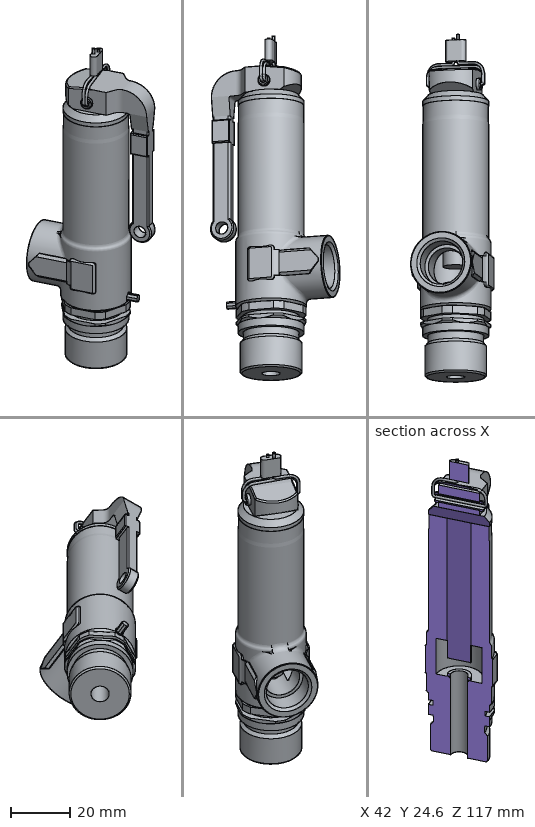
import cadquery as cq
import math


thread_radius = 10.4
thread_chamfer = 0.6
relief_radius = 9.4
thread_top = 10.4
relief_bottom = 11.6
relief_top = 13.6
shank_radius = 9.5
flange_bottom = 14.0
flange_cone_bottom = 16.7
flange_cone_top = 17.4
flange_top = 18.1
body_bottom = 19.8
hex_top = 22.5
hex_runout_top = 23.3
body_radius = 11.9
tube_radius = 11.1
step_bottom = 45.5
step_top = 47.6
spigot_radius = 11.0
spigot_cone_bottom = 86.2
spigot_cone_top = 87.6
housing_top = 92.7
hex_across_flats = 22.2

port_z = 35.6
port_radius = 10.5
port_end_x = -21.1
port_rim_chamfer = 0.2
port_bore_radius = 7.4
port_bore_chamfer = 0.9
port_bore_depth = 7.6
port_throat_radius = 6.2
port_root_fillet = 1.4
hump_half_width = 2.8
hump_fillet = 2.1
blend_top = 52.6
chamber_radius = 8.2
chamber_floor = 30.7
chamber_top = 44.5
seat_top = 31.8
inlet_bore_radius = 3.0

arrow_tip_x = -20.0
arrow_shoulder_x = -16.6
arrow_half_height = 4.5
arrow_tip_half_height = 0.6
arrow_face_y = 10.8
ramp_start_x = -6.2
badge_left_x = -4.7
badge_right_x = 4.7
badge_half_height = 6.0
badge_face_y = 12.3
badge_bevel = 0.7
badge_corner_radius = 1.0
arrow_bevel = 0.9

disc_radius = 4.2
disc_bottom = 37.7

cap_top = 96.3
cap_top_radius = 9.2
cap_shoulder = 94.2

head_radius = 10.2
head_half_width = 7.5
head_top = 105.0
head_slope_start_x = -1.3
head_nose_top = 103.7
head_nose_bottom = 99.1
nose_bevel = 0.5
head_undercut_x = -5.4
neck_half_width = 3.5
neck_start_x = 9.8
neck_fillet = 2.7
lever_right_x = 20.0
arm_left_x = 13.8
elbow_radius = 8.7
inner_elbow_radius = 0.8
neck_taper_bottom = 89.9
label_top = 88.6
arm_half_width = 2.0
arm_inner_bevel = 0.8
arm_outer_bevel = 0.5
label_bottom = 80.7
label_half_width = 3.0
label_bevel = 0.4
eye_x = 16.8
eye_z = 51.2
eye_radius = 4.1
eye_hole_radius = 2.1
eye_bevel = 0.5

pin_z = 99.8
pin_shaft_radius = 1.5
pin_head_radius = 2.0
pin_head_bevel = 0.4
pin_half_length = 8.9
pin_bore_radius = 1.0

wire_radius = 0.5
turn_offset = 0.53
wire_side_y = 9.6
upper_run_z = 107.0
lower_run_z = 106.0
wire_end_y = 0.9
short_end_z = 116.0
long_end_z = 117.0
loop_bend = 3.5
tight_bend = 0.7

seal_bottom = 107.9
seal_top = 115.1
seal_half_width = 3.5
seal_half_thickness = 1.3
seal_x = 0.1

plug_z = 24.7
plug_across_flats = 2.3
plug_inner_x = 10.0
plug_outer_x = 15.5
plug_sides = 8
plug_recess_radius = 1.5
plug_recess_x = 11.3


def cylinder(radius, bottom, top):
    """Upright cylinder on the valve axis."""
    return cq.Workplane("XY").workplane(offset=bottom).circle(radius).extrude(top - bottom)


def x_cylinder(radius, start_x, end_x, z):
    """Cylinder along X in the plane of symmetry."""
    return cq.Workplane("YZ", origin=(start_x, 0, z)).circle(radius).extrude(end_x - start_x)


def y_cylinder(radius, half_length, x, z):
    """Cylinder along Y, centred on the plane of symmetry."""
    return cq.Workplane("XZ", origin=(x, 0, z)).circle(radius).extrude(half_length, both=True)


def centred_box(left_x, right_x, half_width, bottom, top):
    """Box that is symmetric about the XZ plane."""
    size = (right_x - left_x, 2 * half_width, top - bottom)
    return cq.Workplane("XY").box(*size).translate(((left_x + right_x) / 2, 0, (bottom + top) / 2))


def make_turned_blank():
    step_middle = (step_bottom + step_top) / 2
    step_radius = (body_radius + tube_radius) / 2
    return (
        cq.Workplane("XZ")
        .moveTo(0, 0)
        .lineTo(thread_radius - thread_chamfer, 0)
        .lineTo(thread_radius, thread_chamfer)
        .lineTo(thread_radius, thread_top)
        .lineTo(relief_radius, relief_bottom)
        .lineTo(relief_radius, relief_top)
        .lineTo(shank_radius, flange_bottom)
        .lineTo(tube_radius, flange_bottom)
        .lineTo(tube_radius, flange_cone_bottom)
        .lineTo(body_radius, flange_cone_top)
        .lineTo(body_radius, flange_top)
        .lineTo(shank_radius, flange_top)
        .lineTo(shank_radius, body_bottom)
        .lineTo(body_radius, body_bottom)
        .lineTo(body_radius, step_bottom)
        .tangentArcPoint((step_radius, step_middle), relative=False)
        .tangentArcPoint((tube_radius, step_top), relative=False)
        .lineTo(tube_radius, spigot_cone_bottom)
        .lineTo(spigot_radius, spigot_cone_top)
        .lineTo(spigot_radius, housing_top)
        .lineTo(0, housing_top)
        .close()
        .revolve(360, (0, 0, 0), (0, 1, 0))
    )


def cut_wrench_flats(blank):
    """Six flats, two of them facing +Y and -Y, that run out upwards into the round body."""
    hex_diameter = hex_across_flats / math.cos(math.pi / 6)
    prism = cq.Workplane("XY").workplane(offset=flange_cone_bottom).polygon(6, hex_diameter)
    prism = prism.extrude(hex_top - flange_cone_bottom)
    runout = (
        cq.Workplane("XY")
        .workplane(offset=hex_top)
        .circle(tube_radius)
        .workplane(offset=hex_runout_top - hex_top)
        .circle(body_radius)
        .loft()
    )
    ring = cylinder(body_radius, flange_cone_bottom, hex_runout_top)
    return blank.cut(ring.cut(prism).cut(runout))


def make_pipe():
    return x_cylinder(port_radius, port_end_x, 0, port_z).faces("<X").chamfer(port_rim_chamfer)


def make_port_blend(trunk_radius, fillet_radius):
    """Port and a plain round trunk with a fillet along their joint."""
    trunk = cylinder(trunk_radius, hex_runout_top, blend_top)
    joint_box = cq.selectors.BoxSelector(
        (port_end_x + 1.2, -trunk_radius, hex_runout_top + 0.1),
        (-0.1, trunk_radius, blend_top - 0.1),
    )
    return trunk.union(make_pipe()).edges(joint_box).fillet(fillet_radius)


def make_port():
    """Port blended into the body; a narrow hump blends it into the tube above the step."""
    body_space = centred_box(port_end_x, 0, body_radius, hex_runout_top, step_bottom)
    hump_space = centred_box(port_end_x, 0, hump_half_width, port_z, blend_top)
    body_blend = make_port_blend(body_radius, port_root_fillet).intersect(body_space)
    hump = make_port_blend(tube_radius, hump_fillet).intersect(hump_space)
    return make_pipe().union(body_blend).union(hump)


def make_flank_pads():
    """Arrow-shaped pad, ramp and square badge on each flank."""
    arrow = (
        cq.Workplane("XZ", origin=(0, 0, port_z))
        .moveTo(badge_left_x, -arrow_half_height)
        .lineTo(arrow_shoulder_x, -arrow_half_height)
        .lineTo(arrow_tip_x, -arrow_tip_half_height)
        .lineTo(arrow_tip_x, arrow_tip_half_height)
        .lineTo(arrow_shoulder_x, arrow_half_height)
        .lineTo(badge_left_x, arrow_half_height)
        .close()
        .extrude(arrow_face_y)
        .edges("<Y and |X")
        .chamfer(arrow_bevel)
    )
    ramp = (
        cq.Workplane("XY", origin=(0, 0, port_z))
        .moveTo(ramp_start_x, 0)
        .lineTo(ramp_start_x, -arrow_face_y)
        .lineTo(badge_left_x, -badge_face_y + badge_bevel)
        .lineTo(badge_left_x, 0)
        .close()
        .extrude(arrow_half_height, both=True)
    )
    badge_bottom = port_z - badge_half_height
    badge_top = port_z + badge_half_height
    badge = (
        centred_box(badge_left_x, badge_right_x, badge_face_y, badge_bottom, badge_top)
        .edges("|Y")
        .fillet(badge_corner_radius)
        .faces("<Y or >Y")
        .chamfer(badge_bevel)
    )
    pads = arrow.union(ramp).union(badge)
    return pads.union(pads.mirror("XZ"))


def make_plug():
    plug_diameter = plug_across_flats / math.cos(math.pi / plug_sides)
    prism = cq.Workplane("YZ", origin=(plug_inner_x, 0, plug_z)).polygon(plug_sides, plug_diameter)
    prism = prism.extrude(plug_outer_x - plug_inner_x)
    return prism.rotate((0, 0, plug_z), (1, 0, plug_z), 180 / plug_sides)


def make_housing():
    housing = cut_wrench_flats(make_turned_blank())
    housing = housing.union(make_port()).union(make_flank_pads())

    bore_end_x = port_end_x + port_bore_depth
    port_bore = x_cylinder(port_bore_radius, port_end_x, bore_end_x, port_z)
    mouth = cq.Workplane(
        cq.Solid.makeCone(
            port_bore_radius + port_bore_chamfer,
            port_bore_radius,
            port_bore_chamfer,
            pnt=cq.Vector(port_end_x, 0, port_z),
            dir=cq.Vector(1, 0, 0),
        )
    )
    throat = x_cylinder(port_throat_radius, bore_end_x, 0, port_z)
    chamber = cylinder(chamber_radius, chamber_floor, chamber_top)
    seat = cylinder(disc_radius, chamber_floor, seat_top)
    passages = port_bore.union(mouth).union(throat).union(chamber)
    housing = housing.cut(passages).union(seat)
    housing = housing.cut(cylinder(inlet_bore_radius, 0, seat_top))
    housing = housing.cut(cylinder(disc_radius, chamber_top, housing_top))

    plug_recess = x_cylinder(plug_recess_radius, plug_recess_x, plug_outer_x, plug_z)
    return housing.cut(plug_recess).cut(make_plug())


def make_disc():
    return cylinder(disc_radius, disc_bottom, housing_top)


def make_cap():
    return (
        cq.Workplane("XZ")
        .moveTo(0, housing_top)
        .lineTo(tube_radius, housing_top)
        .lineTo(tube_radius, cap_shoulder)
        .lineTo(cap_top_radius, cap_top)
        .lineTo(0, cap_top)
        .close()
        .revolve(360, (0, 0, 0), (0, 1, 0))
    )


def make_lever_top():
    """Head and neck: side outline, plan outline and tapered end outline intersected."""
    side = (
        cq.Workplane("XZ")
        .moveTo(-head_radius, head_nose_bottom)
        .lineTo(-head_radius, head_nose_top)
        .lineTo(head_slope_start_x, head_top)
        .lineTo(lever_right_x - elbow_radius, head_top)
        .tangentArcPoint((lever_right_x, head_top - elbow_radius), relative=False)
        .lineTo(lever_right_x, neck_taper_bottom)
        .lineTo(arm_left_x, neck_taper_bottom)
        .lineTo(arm_left_x, cap_top - inner_elbow_radius)
        .tangentArcPoint((arm_left_x - inner_elbow_radius, cap_top), relative=False)
        .lineTo(head_undercut_x, cap_top)
        .close()
        .extrude(head_half_width, both=True)
    )
    corner_x = math.sqrt(head_radius**2 - head_half_width**2)
    plan = (
        cq.Workplane("XY")
        .workplane(offset=neck_taper_bottom)
        .moveTo(-corner_x, -head_half_width)
        .lineTo(corner_x, -head_half_width)
        .lineTo(neck_start_x, -neck_half_width)
        .lineTo(lever_right_x, -neck_half_width)
        .lineTo(lever_right_x, neck_half_width)
        .lineTo(neck_start_x, neck_half_width)
        .lineTo(corner_x, head_half_width)
        .lineTo(-corner_x, head_half_width)
        .threePointArc((-head_radius, 0), (-corner_x, -head_half_width))
        .close()
        .extrude(head_top - neck_taper_bottom)
    )
    neck_corners = cq.selectors.BoxSelector(
        (neck_start_x - 0.1, -neck_half_width - 0.1, neck_taper_bottom),
        (neck_start_x + 0.1, neck_half_width + 0.1, head_top),
    )
    taper = (
        cq.Workplane("YZ", origin=(-head_radius, 0, 0))
        .moveTo(-arm_half_width, neck_taper_bottom)
        .lineTo(-neck_half_width, cap_top)
        .lineTo(-head_half_width, cap_top)
        .lineTo(-head_half_width, head_top)
        .lineTo(head_half_width, head_top)
        .lineTo(head_half_width, cap_top)
        .lineTo(neck_half_width, cap_top)
        .lineTo(arm_half_width, neck_taper_bottom)
        .close()
        .extrude(head_radius + lever_right_x)
    )
    top = side.intersect(plan.edges(neck_corners).fillet(neck_fillet)).intersect(taper)
    slope_face = cq.selectors.NearestToPointSelector((head_undercut_x, 0, head_top))
    return top.faces(slope_face).edges("not >X").chamfer(nose_bevel)


def make_lever_arm():
    """Arm with bevelled long edges, a label pad and an eye."""
    arm = centred_box(arm_left_x, lever_right_x, arm_half_width, eye_z, neck_taper_bottom)
    arm = arm.edges("|Z and <X").chamfer(arm_inner_bevel)
    arm = arm.edges("|Z and >X").chamfer(arm_outer_bevel)
    label = centred_box(arm_left_x, lever_right_x, label_half_width, label_bottom, label_top)
    label = label.faces("<Y or >Y").chamfer(label_bevel)
    eye = y_cylinder(eye_radius, arm_half_width, eye_x, eye_z).edges().chamfer(eye_bevel)
    eye_hole = y_cylinder(eye_hole_radius, arm_half_width, eye_x, eye_z)
    return arm.union(label).union(eye).cut(eye_hole)


def make_lever():
    lever = make_lever_top().union(make_lever_arm())
    return lever.cut(y_cylinder(pin_shaft_radius, head_half_width, 0, pin_z))


def make_pin():
    """Hollow pin with a head at each end."""
    pin = y_cylinder(pin_head_radius, pin_half_length, 0, pin_z).edges().chamfer(pin_head_bevel)
    sleeve = y_cylinder(pin_head_radius, head_half_width, 0, pin_z)
    sleeve = sleeve.cut(y_cylinder(pin_shaft_radius, head_half_width, 0, pin_z))
    return pin.cut(sleeve).cut(y_cylinder(pin_bore_radius, pin_half_length, 0, pin_z))


def rounded_path(points, bends):
    """Path through the points with an arc of the given radius at every inner corner."""
    edges = []
    start = points[0]
    for before, corner, after, radius in zip(points, points[1:], points[2:], bends):
        back = (before - corner).normalized()
        ahead = (after - corner).normalized()
        half_angle = back.getAngle(ahead) / 2
        tangent_length = radius / math.tan(half_angle)
        arc_start = corner + back * tangent_length
        arc_end = corner + ahead * tangent_length
        bisector = (back + ahead).normalized()
        arc_middle = corner + bisector * (radius / math.sin(half_angle) - radius)
        edges.append(cq.Edge.makeLine(start, arc_start))
        edges.append(cq.Edge.makeThreePointArc(arc_start, arc_middle, arc_end))
        start = arc_end
    edges.append(cq.Edge.makeLine(start, points[-1]))
    return cq.Wire.assembleEdges(edges)


def make_wire():
    first_x = turn_offset
    second_x = -turn_offset
    points = [
        cq.Vector(first_x, wire_end_y, short_end_z),
        cq.Vector(first_x, wire_end_y, upper_run_z),
        cq.Vector(first_x, wire_side_y, upper_run_z),
        cq.Vector(first_x, wire_side_y, pin_z),
        cq.Vector(first_x, -wire_side_y, pin_z),
        cq.Vector(first_x, -wire_side_y, lower_run_z),
        cq.Vector(second_x, wire_side_y, lower_run_z),
        cq.Vector(second_x, wire_side_y, pin_z),
        cq.Vector(second_x, -wire_side_y, pin_z),
        cq.Vector(second_x, -wire_side_y, upper_run_z),
        cq.Vector(second_x, -wire_end_y, upper_run_z),
        cq.Vector(second_x, -wire_end_y, long_end_z),
    ]
    side_bends = [loop_bend, tight_bend, tight_bend, loop_bend]
    path = rounded_path(points, [tight_bend, *side_bends, *side_bends, tight_bend])
    section = cq.Workplane("XY", origin=points[0].toTuple()).circle(wire_radius)
    return section.sweep(cq.Workplane(path))


def make_seal():
    """Flattened sleeve, round at both edges, with a hole for each wire end."""
    seal = (
        cq.Workplane("XY", origin=(seal_x, 0, seal_bottom))
        .slot2D(2 * seal_half_width, 2 * seal_half_thickness, 90)
        .extrude(seal_top - seal_bottom)
    )
    wire_ends = [(turn_offset, wire_end_y), (-turn_offset, -wire_end_y)]
    holes = cq.Workplane("XY", origin=(0, 0, seal_bottom)).pushPoints(wire_ends).circle(wire_radius)
    return seal.cut(holes.extrude(seal_top - seal_bottom))


housing = make_housing()
disc = make_disc()
cap = make_cap()
lever = make_lever()
pin = make_pin()
seal_wire = make_wire()
seal = make_seal()
plug = make_plug()

bodies = [housing, disc, cap, lever, pin, seal_wire, seal, plug]
result = cq.Compound.makeCompound([body.val() for body in bodies])